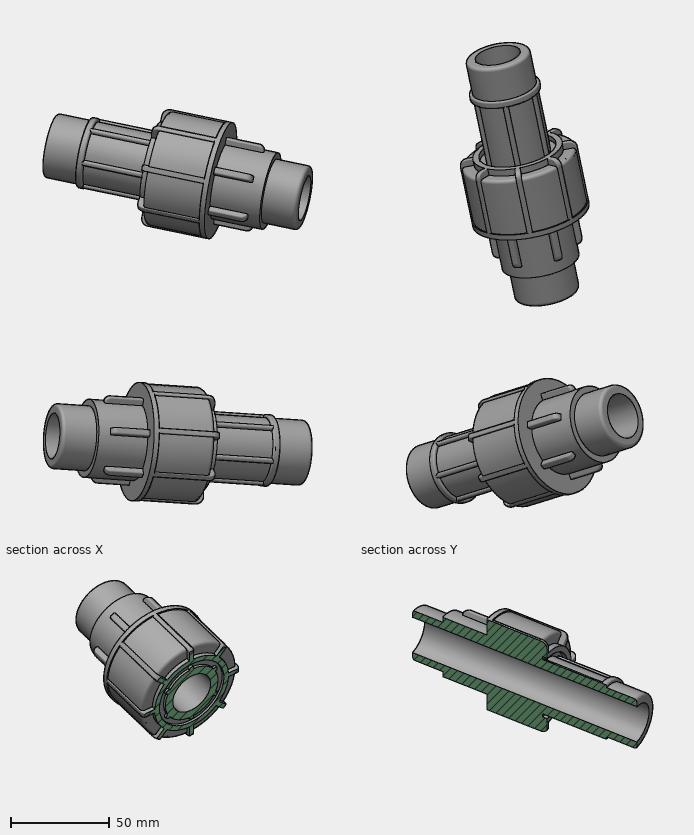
import cadquery as cq


TOTAL_LENGTH = 134.0
BORE_DIA = 23.3
SPIGOT_DIA = 33.2
SPIGOT_END_ROUND = 1.7

COLLAR_DIA = 36.6
COLLAR_START = 18.0
COLLAR_WIDTH = 3.6
COLLAR_ROUND = 1.0
TAIL_RIB_COUNT = 6
TAIL_RIB_WIDTH = 2.8
TAIL_RIB_EDGE_ROUND = 1.2

NUT_DIA = 60.5
NUT_START = 53.5
NUT_END = 89.6
FLANGE_WIDTH = 2.8
PANEL_DIA = 59.0
PANEL_SETBACK = 3.5
PANEL_ROUND = 1.7
HUB_DIA = 46.4
NUT_OPENING_DIA = 39.9
NUT_OPENING_DEPTH = 2.7
NUT_RIB_COUNT = 8
NUT_RIB_WIDTH = 2.8
NUT_RIB_EDGE_ROUND = 0.4
NUT_RIB_END_ROUND = 3.9

BODY_DIA = 39.9
BODY_END = 115.9
BODY_RIB_COUNT = 6
BODY_RIB_FIRST_ANGLE = 30.0
BODY_RIB_TIP_DIA = 46.4
BODY_RIB_END = 109.7
BODY_RIB_WIDTH = 3.6
BODY_RIB_EDGE_ROUND = 0.8
BODY_RIB_END_ROUND = 3.1

RIB_ROOT_RADIUS = BORE_DIA / 2 + 1.3


def cylinder(start, end, diameter):
    """Round bar along X between two stations."""
    return cq.Workplane("YZ", origin=(start, 0, 0)).circle(diameter / 2).extrude(end - start)


def around_axis(shape, count, first_angle=0.0):
    """Join evenly spaced copies of a shape about the X axis."""
    copies = cq.Workplane()
    for index in range(count):
        angle = first_angle + index * 360 / count
        copies = copies.add(shape.rotate((0, 0, 0), (1, 0, 0), angle))
    return copies.combine()


def rounded_rib(envelope, width, edge_round, joined_ends):
    """Radial rib on the +Z side, cut from a round envelope.

    The side edges are rounded except at the root and at the joined ends,
    which are given as an edge selector.
    """
    box = envelope.val().BoundingBox()
    slab = cq.Workplane("XY", origin=(box.xmin, 0, RIB_ROOT_RADIUS)).box(
        box.xlen, width, box.zmax, centered=(False, True, False)
    )
    sides = envelope.intersect(slab).faces("<Y or >Y")
    return sides.edges(f"not ({joined_ends} or <Z)").fillet(edge_round)


def make_spigots():
    """Full-length bar with both outer ends rounded."""
    return cylinder(0, TOTAL_LENGTH, SPIGOT_DIA).edges("%CIRCLE").fillet(SPIGOT_END_ROUND)


def make_tailpiece_details():
    """Rounded collar and the ribs running from it into the nut opening."""
    collar_end = COLLAR_START + COLLAR_WIDTH
    collar = cylinder(COLLAR_START, collar_end, COLLAR_DIA).edges("%CIRCLE").fillet(COLLAR_ROUND)
    rib_envelope = cylinder(collar_end - COLLAR_ROUND, NUT_START + NUT_OPENING_DEPTH, COLLAR_DIA)
    rib = rounded_rib(rib_envelope, TAIL_RIB_WIDTH, TAIL_RIB_EDGE_ROUND, "<X or >X")
    return collar.union(around_axis(rib, TAIL_RIB_COUNT))


def make_nut():
    """Panelled nut with a rear flange, a raised hub ring, grip ribs and a front opening."""
    panels = cylinder(NUT_START + PANEL_SETBACK, NUT_END, PANEL_DIA)
    panels = panels.faces("<X").edges().fillet(PANEL_ROUND)
    flange = cylinder(NUT_END - FLANGE_WIDTH, NUT_END, NUT_DIA)
    hub = cylinder(NUT_START, NUT_END, HUB_DIA)
    rib_envelope = cylinder(NUT_START, NUT_END - FLANGE_WIDTH, NUT_DIA)
    rib_envelope = rib_envelope.faces("<X").edges().fillet(NUT_RIB_END_ROUND)
    rib = rounded_rib(rib_envelope, NUT_RIB_WIDTH, NUT_RIB_EDGE_ROUND, ">X")
    opening = cylinder(NUT_START, NUT_START + NUT_OPENING_DEPTH, NUT_OPENING_DIA)
    return panels.union(flange).union(hub).union(around_axis(rib, NUT_RIB_COUNT)).cut(opening)


def make_body():
    """Socket body with ribs that are rounded off at their free end."""
    rib_envelope = cylinder(NUT_END, BODY_RIB_END, BODY_RIB_TIP_DIA)
    rib_envelope = rib_envelope.faces(">X").edges().fillet(BODY_RIB_END_ROUND)
    rib = rounded_rib(rib_envelope, BODY_RIB_WIDTH, BODY_RIB_EDGE_ROUND, "<X")
    body = cylinder(NUT_END, BODY_END, BODY_DIA)
    return body.union(around_axis(rib, BODY_RIB_COUNT, BODY_RIB_FIRST_ANGLE))


bore = cylinder(0, TOTAL_LENGTH, BORE_DIA)
result = make_spigots().union(make_nut()).union(make_tailpiece_details()).union(make_body()).cut(bore)